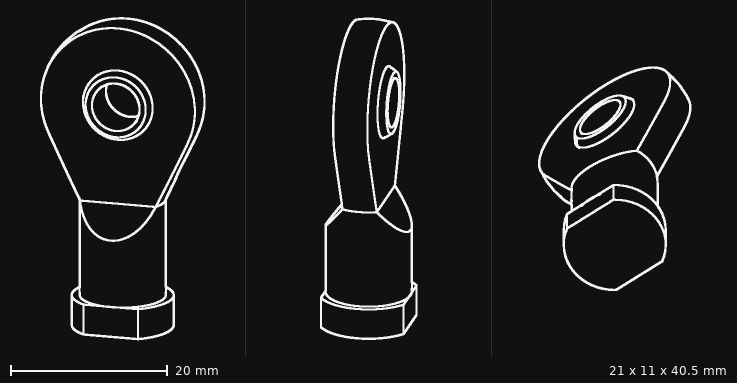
import cadquery as cq
import math

total_height = 40.5
head_radius = 10.5
head_thickness = 4.5
eye_height = total_height - head_radius

shank_radius = 5.5
shoulder_height = 16.85
bevel_start_height = 12.88
flange_radius = 6.52
flange_height = 4.0
flange_across_flats = 10.85

ball_radius = 5.15
ball_width = 6.5
bore_radius = 3.15


def revolved_blank():
    """Shank, cone and spherical head turned about Z; the cone is tangent to the sphere."""
    drop = eye_height - shoulder_height
    corner_distance = math.hypot(shank_radius, drop)
    corner_angle = math.atan2(-drop, shank_radius)
    tangent_angle = corner_angle + math.acos(head_radius / corner_distance)
    tangent_point = (
        head_radius * math.cos(tangent_angle),
        eye_height + head_radius * math.sin(tangent_angle),
    )
    return (
        cq.Workplane("XZ")
        .moveTo(0, flange_height)
        .lineTo(shank_radius, flange_height)
        .lineTo(shank_radius, shoulder_height)
        .lineTo(*tangent_point)
        .threePointArc((head_radius * math.cos(math.pi / 4),
                        eye_height + head_radius * math.sin(math.pi / 4)),
                       (0, total_height))
        .close()
        .revolve(360, (0, 0, 0), (0, 1, 0))
    )


def side_envelope():
    """Prism along X that leaves the flat head faces and the two bevels below them."""
    half_head = head_thickness / 2
    return (
        cq.Workplane("YZ")
        .moveTo(-shank_radius, 0)
        .lineTo(shank_radius, 0)
        .lineTo(shank_radius, bevel_start_height)
        .lineTo(half_head, shoulder_height)
        .lineTo(half_head, total_height)
        .lineTo(-half_head, total_height)
        .lineTo(-half_head, shoulder_height)
        .lineTo(-shank_radius, bevel_start_height)
        .close()
        .extrude(head_radius, both=True)
    )


def make_flange():
    """Round flange with two wrench flats facing -Y and +Y."""
    flats = cq.Workplane("XY").box(
        2 * flange_radius, flange_across_flats, flange_height, centered=(True, True, False)
    )
    return cq.Workplane("XY").circle(flange_radius).extrude(flange_height).intersect(flats)


def ball_blank():
    """Solid sphere at the eye centre, also used to cut its seat in the head."""
    return cq.Workplane("XY").sphere(ball_radius).translate((0, 0, eye_height))


def make_rod_end():
    """Head, shank and flange in one piece with a spherical seat for the ball."""
    body = revolved_blank().intersect(side_envelope())
    return body.union(make_flange()).cut(ball_blank())


def make_ball():
    """Ball with flat ends and a through bore along Y."""
    width_limit = (
        cq.Workplane("XY")
        .box(2 * ball_radius, ball_width, 2 * ball_radius)
        .translate((0, 0, eye_height))
    )
    bore = (
        cq.Workplane("XZ")
        .center(0, eye_height)
        .circle(bore_radius)
        .extrude(ball_width, both=True)
    )
    return ball_blank().intersect(width_limit).cut(bore)


rod_end = make_rod_end()
ball = make_ball()

result = cq.Compound.makeCompound([rod_end.solids().val(), ball.solids().val()])